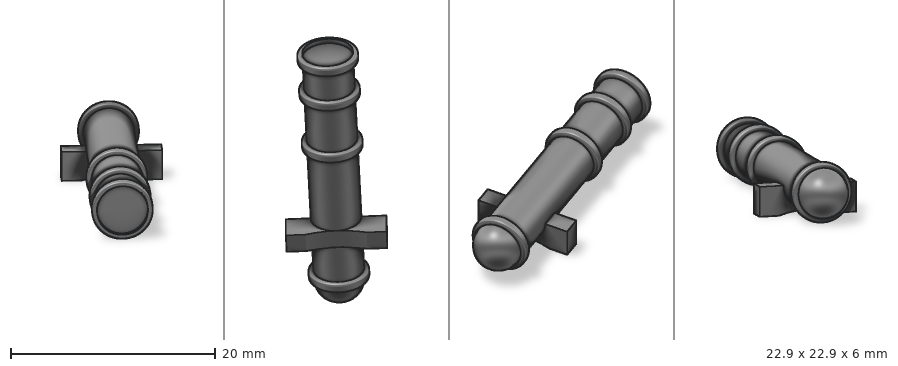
import cadquery as cq
import math

barrel_radius = 2.505
ring_radius = 3.0
ring_width = 1.0
ring_fillet = 0.27
ring_starts = (0, 15.0, 21.0, 24.98)
muzzle_recess = 0.5
axis_angle = -45

bar_start = 5.0
bar_width = 1.92
bar_length = 9.88
bar_height = ring_radius
arch_span = 2 * ring_radius
arch_rise = ring_radius - barrel_radius

muzzle_end = ring_starts[-1] + ring_width
barrel_end = muzzle_end - muzzle_recess


def make_barrel():
    """Solid barrel with a hemispherical breech, revolved about X."""
    dome_offset = barrel_radius * math.sqrt(0.5)
    return (
        cq.Workplane("XY")
        .moveTo(-barrel_radius, 0)
        .threePointArc((-dome_offset, dome_offset), (0, barrel_radius))
        .lineTo(barrel_end, barrel_radius)
        .lineTo(barrel_end, 0)
        .close()
        .revolve(360, (0, 0, 0), (1, 0, 0))
    )


def make_ring(start):
    """Reinforcing ring with rounded outer edges."""
    return (
        cq.Workplane("YZ", origin=(start, 0, 0))
        .circle(ring_radius)
        .extrude(ring_width)
        .edges()
        .fillet(ring_fillet)
        .cut(cq.Workplane("YZ", origin=(start, 0, 0)).circle(barrel_radius).extrude(ring_width))
    )


def make_bar():
    """Flat-topped crossbar, arched below, extruded along the barrel axis."""
    half_length = bar_length / 2
    half_span = arch_span / 2
    return (
        cq.Workplane("YZ", origin=(bar_start, 0, 0))
        .moveTo(-half_length, 0)
        .lineTo(-half_length, -bar_height)
        .lineTo(-half_span, -bar_height)
        .threePointArc((0, arch_rise - bar_height), (half_span, -bar_height))
        .lineTo(half_length, -bar_height)
        .lineTo(half_length, 0)
        .close()
        .extrude(bar_width)
    )


cannon = make_barrel().union(make_bar())
for ring_start in ring_starts:
    cannon = cannon.union(make_ring(ring_start))

result = cannon.rotate((0, 0, 0), (0, 0, 1), axis_angle)